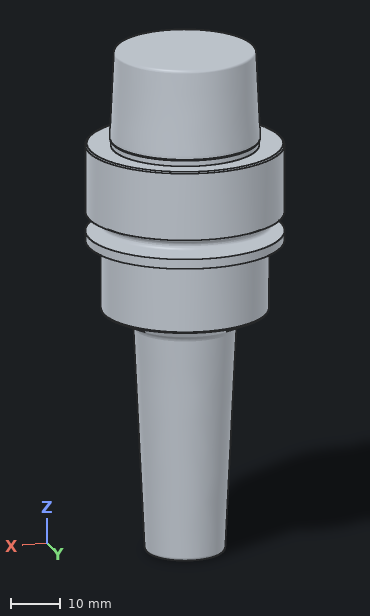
import cadquery as cq

total_length = 104.9
taper_length = 19.7
flange_length = 20.2
body_length = 14.4
shoulder_drop = 2.9

flange_top = total_length - taper_length
flange_bottom = flange_top - flange_length
body_bottom = flange_bottom - body_length
shoulder_bottom = body_bottom - shoulder_drop

taper_top_radius = 14.3
taper_base_radius = 15.1
taper_base = flange_top + 1.8
taper_edge_round = 0.8
land_bottom = taper_base - 0.6
neck_radius = 14.9
neck_bevel = 0.3
neck_foot_radius = 16.0
neck_recess_depth = 0.3

flange_radius = 19.98
flange_edge_chamfer = 0.3
groove_top = flange_bottom + 6.0
groove_bottom = flange_bottom + 2.0
groove_radius = 17.3
groove_round = 0.8
groove_floor_top = flange_bottom + 4.8
groove_floor_bottom = flange_bottom + 3.5

body_radius = 16.9
body_edge_chamfer = 0.2
nose_top_radius = 10.4
nose_tip_radius = 8.1
shoulder_round = 1.4
tip_round = 0.8

profile = (
    cq.Workplane("XZ")
    .moveTo(0, 0)
    .lineTo(nose_tip_radius, 0)
    .lineTo(nose_top_radius, shoulder_bottom)
    .lineTo(body_radius, body_bottom)
    .lineTo(body_radius, flange_bottom)
    .lineTo(flange_radius, flange_bottom)
    .lineTo(flange_radius, groove_bottom)
    .lineTo(groove_radius, groove_floor_bottom)
    .lineTo(groove_radius, groove_floor_top)
    .lineTo(flange_radius, groove_top)
    .lineTo(flange_radius, flange_top)
    .lineTo(neck_foot_radius, flange_top)
    .lineTo(neck_radius, flange_top - neck_recess_depth)
    .lineTo(neck_radius, land_bottom - neck_bevel)
    .lineTo(taper_base_radius, land_bottom)
    .lineTo(taper_base_radius, taper_base)
    .lineTo(taper_top_radius, total_length)
    .lineTo(0, total_length)
    .close()
)
result = profile.revolve(360, (0, 0, 0), (0, 1, 0))


def ring_edge(radius, height):
    """Select the circular edge of the given radius at the given height."""
    tolerance = 0.01
    outer = radius + tolerance
    return cq.selectors.BoxSelector(
        (-outer, -outer, height - tolerance),
        (outer, outer, height + tolerance),
        boundingbox=True,
    )


for corner_height in (groove_floor_bottom, groove_floor_top):
    result = result.edges(ring_edge(groove_radius, corner_height)).fillet(groove_round)
result = result.edges(ring_edge(taper_top_radius, total_length)).fillet(taper_edge_round)
flange_rim = ring_edge(flange_radius, flange_top) - ring_edge(neck_foot_radius, flange_top)
result = result.edges(flange_rim).chamfer(flange_edge_chamfer)
result = result.edges(ring_edge(body_radius, body_bottom)).chamfer(body_edge_chamfer)
result = result.edges(ring_edge(nose_top_radius, shoulder_bottom)).fillet(shoulder_round)
result = result.edges(ring_edge(nose_tip_radius, 0)).fillet(tip_round)